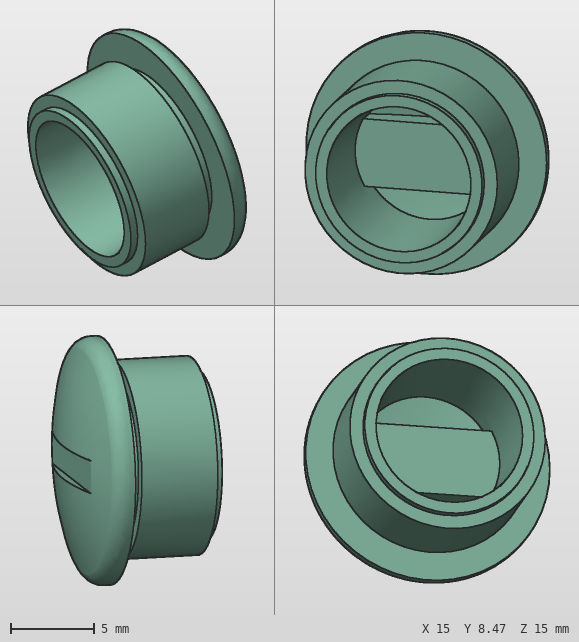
import cadquery as cq
import math


HEAD_RADIUS = 7.5
HEAD_SEAT_Y = 6.0
DOME_APEX_Y = 8.5
DOME_RADIUS = 20.0
RIM_FILLET = 1.0
BODY_RADIUS = 6.0
NECK_RADIUS = 5.19
BODY_START_Y = 0.5
BODY_END_Y = 5.2

SLOT_WIDTH = 2.0
SLOT_FLOOR_Y = 7.98

BORE_MOUTH_RADIUS = 4.5
BORE_DRAFT_DEGREES = 2.0
HEAD_THICKNESS = 1.35

RIB_TOP_Z = 2.01
RIB_BOTTOM_Z = -2.19
RIB_FACE_Y = 5.5


def dome_y(radius):
    """Height of the dome surface at a given distance from the axis."""
    return DOME_APEX_Y - DOME_RADIUS + math.sqrt(DOME_RADIUS**2 - radius**2)


def revolve_about_y(profile):
    """Solid of revolution from an outline in the XY plane."""
    return profile.close().revolve(360, (0, 0, 0), (0, 1, 0))


def bar_along_x(half_length, start_y, bottom_z, top_z):
    """Straight bar along X, reaching from start_y to the height of the dome apex."""
    size = (2 * half_length, DOME_APEX_Y - start_y, top_z - bottom_z)
    return cq.Workplane("XY", origin=(-half_length, start_y, bottom_z)).box(*size, centered=False)


def make_outside():
    mid_radius = HEAD_RADIUS / 2
    profile = (
        cq.Workplane("XY")
        .lineTo(NECK_RADIUS, 0)
        .lineTo(NECK_RADIUS, BODY_START_Y)
        .lineTo(BODY_RADIUS, BODY_START_Y)
        .lineTo(BODY_RADIUS, BODY_END_Y)
        .lineTo(NECK_RADIUS, BODY_END_Y)
        .lineTo(NECK_RADIUS, HEAD_SEAT_Y)
        .lineTo(HEAD_RADIUS, HEAD_SEAT_Y)
        .lineTo(HEAD_RADIUS, dome_y(HEAD_RADIUS))
        .threePointArc((mid_radius, dome_y(mid_radius)), (0, DOME_APEX_Y))
    )
    rim_centre = (0, dome_y(HEAD_RADIUS), 0)
    rim_edge = cq.selectors.NearestToPointSelector(rim_centre)
    return revolve_about_y(profile).edges(rim_edge).fillet(RIM_FILLET)


def make_bore():
    end_radius = BORE_MOUTH_RADIUS - DOME_APEX_Y * math.tan(math.radians(BORE_DRAFT_DEGREES))
    cone = revolve_about_y(
        cq.Workplane("XY")
        .lineTo(BORE_MOUTH_RADIUS, 0)
        .lineTo(end_radius, DOME_APEX_Y)
        .lineTo(0, DOME_APEX_Y)
    )
    roof = cq.Workplane("XY").sphere(DOME_RADIUS - HEAD_THICKNESS).translate(
        (0, DOME_APEX_Y - DOME_RADIUS, 0)
    )
    return cone.intersect(roof)


cavity = make_bore().cut(bar_along_x(BORE_MOUTH_RADIUS, RIB_FACE_Y, RIB_BOTTOM_Z, RIB_TOP_Z))
slot = bar_along_x(HEAD_RADIUS, SLOT_FLOOR_Y, -SLOT_WIDTH / 2, SLOT_WIDTH / 2)
result = make_outside().cut(slot).cut(cavity)